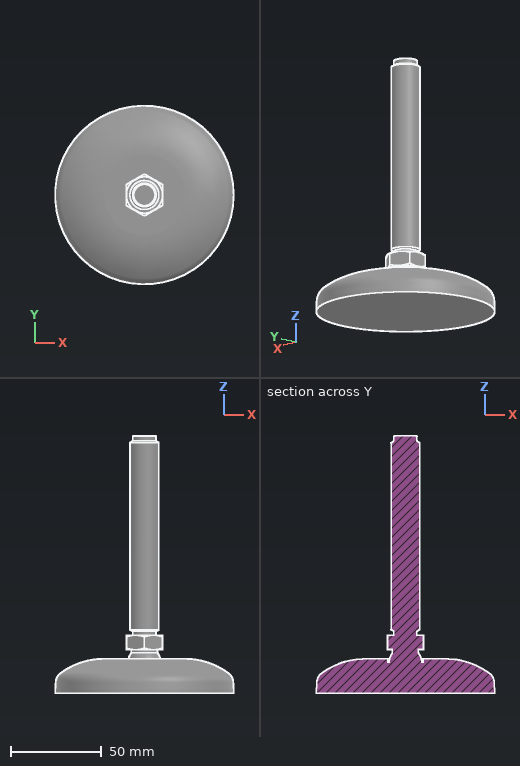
import cadquery as cq
import math

TOTAL_HEIGHT = 142.2

RIM_DIAMETER = 98.62
RIM_HEIGHT = 2.2
SKIRT_TOP_DIAMETER = 98.2
SKIRT_TOP_Z = 5.8
PLATE_TOP_Z = 19.2
PLATE_FLAT_DIAMETER = 44.6
SHOULDER_DIAMETER = 92.8
SHOULDER_Z = 11.2

BALL_DIAMETER = 18.32
NECK_DIAMETER = 14.7
NECK_BOTTOM_Z = 22.3
SOCKET_DIAMETER = 19.5
SOCKET_DEPTH = 2.0

HEX_ACROSS_FLATS = 20.0
HEX_BOTTOM_Z = 24.1
HEX_TOP_Z = 32.1
HEX_CHAMFER_ANGLE = 30.0
HEX_TURN_ANGLE = 30.0

STUD_DIAMETER = 16.0
RELIEF_DIAMETER = 13.0
STUD_BOTTOM_Z = 34.2
STUD_TOP_Z = 139.2
STUD_CHAMFER_ANGLE = 30.0
TIP_FACE_DIAMETER = 11.74
TIP_CHAMFER_HEIGHT = 0.3


def make_foot_plate():
    """Revolved plate: slightly tapered skirt, rounded shoulder and domed top."""
    flat_radius = PLATE_FLAT_DIAMETER / 2
    shoulder_radius = SHOULDER_DIAMETER / 2
    skirt_radius = SKIRT_TOP_DIAMETER / 2
    rim_radius = RIM_DIAMETER / 2

    profile = (
        cq.Workplane("XZ")
        .moveTo(0, 0)
        .lineTo(0, PLATE_TOP_Z)
        .lineTo(flat_radius, PLATE_TOP_Z)
        .tangentArcPoint((shoulder_radius, SHOULDER_Z), relative=False)
        .tangentArcPoint((skirt_radius, SKIRT_TOP_Z), relative=False)
        .lineTo(rim_radius, RIM_HEIGHT)
        .lineTo(rim_radius, 0)
        .close()
    )
    return profile.revolve(360, (0, 0, 0), (0, 1, 0))


def make_socket():
    """Shallow round recess that leaves a narrow gap around the ball."""
    return (
        cq.Workplane("XY", origin=(0, 0, PLATE_TOP_Z - SOCKET_DEPTH))
        .circle(SOCKET_DIAMETER / 2)
        .extrude(SOCKET_DEPTH)
    )


def make_ball_joint():
    """Ball partly sunk in the plate, meeting the neck where their diameters match."""
    ball_radius = BALL_DIAMETER / 2
    neck_radius = NECK_DIAMETER / 2
    ball_center_z = NECK_BOTTOM_Z - math.sqrt(ball_radius**2 - neck_radius**2)
    ball = cq.Workplane("XY").sphere(ball_radius).translate((0, 0, ball_center_z))
    neck = (
        cq.Workplane("XY", origin=(0, 0, ball_center_z))
        .circle(neck_radius)
        .extrude(HEX_BOTTOM_Z - ball_center_z)
    )
    return ball.union(neck)


def make_hexagon():
    """Hexagon with corners on the Y axis, chamfered on both end faces."""
    height = HEX_TOP_Z - HEX_BOTTOM_Z
    corner_radius = HEX_ACROSS_FLATS / math.sqrt(3)
    face_radius = HEX_ACROSS_FLATS / 2
    chamfer_width = corner_radius - face_radius
    chamfer_height = chamfer_width * math.tan(math.radians(HEX_CHAMFER_ANGLE))

    prism = (
        cq.Workplane("XY", origin=(0, 0, HEX_BOTTOM_Z))
        .polygon(6, 2 * corner_radius)
        .extrude(height)
        .rotate((0, 0, 0), (0, 0, 1), HEX_TURN_ANGLE)
    )
    chamfer_envelope = (
        cq.Workplane("XY", origin=(0, 0, HEX_BOTTOM_Z))
        .circle(corner_radius)
        .extrude(height)
        .faces("<Z or >Z")
        .chamfer(chamfer_height, chamfer_width)
    )
    return prism.intersect(chamfer_envelope)


def make_stud():
    """Stud with an undercut above the hexagon, chamfered ends and a reduced tip."""
    stud_radius = STUD_DIAMETER / 2
    relief_radius = RELIEF_DIAMETER / 2
    chamfer_height = (stud_radius - relief_radius) * math.tan(math.radians(STUD_CHAMFER_ANGLE))
    profile = (
        cq.Workplane("XZ")
        .moveTo(0, HEX_TOP_Z)
        .lineTo(relief_radius, HEX_TOP_Z)
        .lineTo(relief_radius, STUD_BOTTOM_Z)
        .lineTo(stud_radius, STUD_BOTTOM_Z + chamfer_height)
        .lineTo(stud_radius, STUD_TOP_Z - chamfer_height)
        .lineTo(relief_radius, STUD_TOP_Z)
        .lineTo(relief_radius, TOTAL_HEIGHT - TIP_CHAMFER_HEIGHT)
        .lineTo(TIP_FACE_DIAMETER / 2, TOTAL_HEIGHT)
        .lineTo(0, TOTAL_HEIGHT)
        .close()
    )
    return profile.revolve(360, (0, 0, 0), (0, 1, 0))


foot = make_foot_plate().cut(make_socket())
result = foot.union(make_ball_joint()).union(make_hexagon()).union(make_stud())